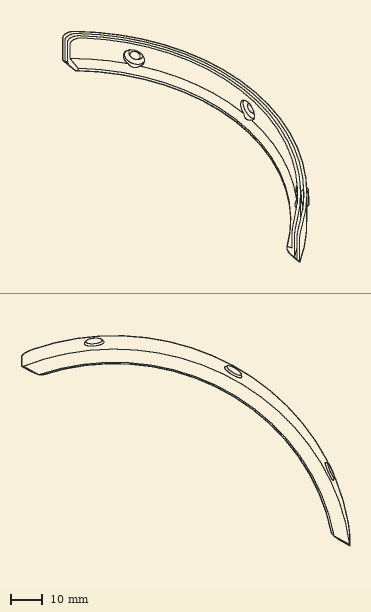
import cadquery as cq
import math

LENGTH = 120.0
HEIGHT = 13.0
OUTER_RADIUS = 75.0
FOOT_Y = math.sqrt(OUTER_RADIUS**2 - (LENGTH / 2) ** 2)

SKIN = 1.0
SLOT_OUTER_RADIUS = OUTER_RADIUS - SKIN
SLOT_INNER_RADIUS = SLOT_OUTER_RADIUS - SKIN
INNER_RADIUS = SLOT_INNER_RADIUS - SKIN
SLOT_FLOOR = 0.8

LIP_DEPTH = 2.2
LIP_RADIUS = INNER_RADIUS - LIP_DEPTH
LIP_EDGE_TOP = 1.8
LIP_TOP = LIP_EDGE_TOP + LIP_DEPTH
LIP_CHAMFER = 0.7

TOP_CORNER_RADIUS = 3.0
FOOT_CHAMFER = 0.5
LIP_END_SETBACK = 0.6

STUD_ANGLES = (-35, 0, 35)
STUD_Z = 6.8
BOSS_BASE_DIAMETER = 6.2
BOSS_TOP_DIAMETER = 5.3
BOSS_HEIGHT = 0.6
BUMP_BASE_DIAMETER = 4.7
BUMP_TOP_DIAMETER = 3.4
BUMP_HEIGHT = 0.7
ACCESS_DIAMETER = 7.0
EMBED = 0.5


def make_arch():
    """Revolve the wall and lip section, without the slot."""
    section = (
        cq.Workplane("XZ")
        .moveTo(OUTER_RADIUS, 0)
        .lineTo(OUTER_RADIUS, HEIGHT)
        .lineTo(INNER_RADIUS, HEIGHT)
        .lineTo(INNER_RADIUS, LIP_TOP)
        .lineTo(LIP_RADIUS, LIP_EDGE_TOP)
        .lineTo(LIP_RADIUS, LIP_CHAMFER)
        .lineTo(LIP_RADIUS + LIP_CHAMFER, 0)
        .close()
    )
    return section.revolve(180, (0, 0, 0), (0, 1, 0))


def make_slot():
    """Curved slot, open at the top and at both feet."""
    return (
        cq.Workplane("XY", origin=(0, 0, SLOT_FLOOR))
        .circle(SLOT_OUTER_RADIUS)
        .circle(SLOT_INNER_RADIUS)
        .extrude(HEIGHT)
    )


def make_foot_trim():
    """Side outline that cuts the feet flat and rounds their top corners."""
    depth = OUTER_RADIUS + BOSS_HEIGHT - FOOT_Y
    trim = (
        cq.Workplane("XY")
        .box(LENGTH, depth, HEIGHT, centered=(True, False, False))
        .translate((0, FOOT_Y, 0))
    )
    trim = trim.faces("<Y").edges(">Z").fillet(TOP_CORNER_RADIUS)
    return trim.faces("<Y").edges("<Z").chamfer(FOOT_CHAMFER)


def make_lip_end_cut(side):
    """Wedge that slants one lip end; side is +1 or -1 along X."""
    wall_x = math.sqrt(INNER_RADIUS**2 - FOOT_Y**2)
    setback_y = FOOT_Y + LIP_END_SETBACK
    lip_x = math.sqrt(LIP_RADIUS**2 - setback_y**2)
    return (
        cq.Workplane("XY")
        .moveTo(side * wall_x, FOOT_Y)
        .lineTo(side * lip_x, setback_y)
        .lineTo(side * (lip_x - LIP_DEPTH), setback_y)
        .lineTo(side * (lip_x - LIP_DEPTH), FOOT_Y)
        .close()
        .extrude(LIP_TOP)
    )


def radial_plane(angle, radius):
    """Plane on the arch at an angle from its crown, facing outward."""
    outward = (math.sin(math.radians(angle)), math.cos(math.radians(angle)), 0)
    origin = (outward[0] * radius, outward[1] * radius, STUD_Z)
    return cq.Plane(origin=origin, xDir=(0, 0, 1), normal=outward)


def make_frustum(plane, base_diameter, top_diameter, height):
    """Cone frustum on a plane; a negative height points toward the arch axis."""
    return (
        cq.Workplane(plane)
        .circle(base_diameter / 2)
        .workplane(offset=height)
        .circle(top_diameter / 2)
        .loft(ruled=True)
    )


def make_plug(plane, diameter, depth):
    """Cylinder that roots a frustum in the outer skin."""
    return cq.Workplane(plane).circle(diameter / 2).extrude(depth)


def add_stud(body, angle):
    """Open the inner skin, then add the outer boss and the bump in the slot."""
    access_plane = radial_plane(angle, LIP_RADIUS)
    access_depth = (SLOT_INNER_RADIUS + SLOT_OUTER_RADIUS) / 2 - LIP_RADIUS
    access = cq.Workplane(access_plane).circle(ACCESS_DIAMETER / 2).extrude(access_depth)
    outer_plane = radial_plane(angle, OUTER_RADIUS)
    boss = make_frustum(outer_plane, BOSS_BASE_DIAMETER, BOSS_TOP_DIAMETER, BOSS_HEIGHT)
    boss_root = make_plug(outer_plane, BOSS_BASE_DIAMETER, -EMBED)
    bump_plane = radial_plane(angle, SLOT_OUTER_RADIUS)
    bump = make_frustum(bump_plane, BUMP_BASE_DIAMETER, BUMP_TOP_DIAMETER, -BUMP_HEIGHT)
    bump_root = make_plug(bump_plane, BUMP_BASE_DIAMETER, EMBED)
    return body.cut(access).union(boss).union(boss_root).union(bump).union(bump_root)


result = make_arch().cut(make_slot()).intersect(make_foot_trim())
for foot_side in (-1, 1):
    result = result.cut(make_lip_end_cut(foot_side))
for stud_angle in STUD_ANGLES:
    result = add_stud(result, stud_angle)